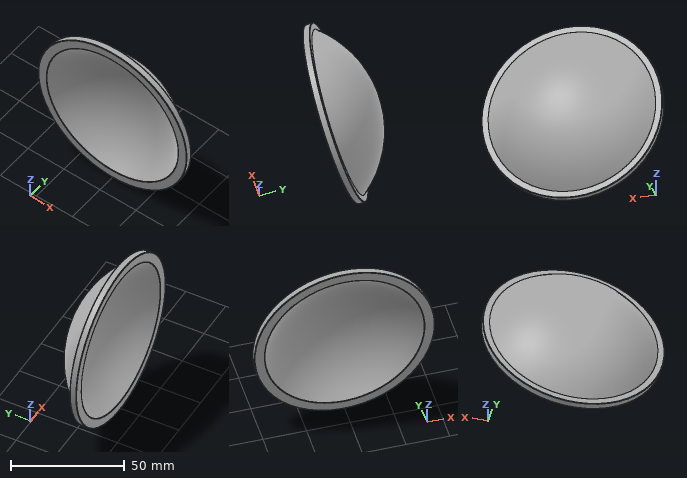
import cadquery as cq
import math

rim_diameter = 82.55
rim_thickness = 3.3
rim_chamfer = 0.25
total_depth = 21.95

dome_base_diameter = 76.45
opening_diameter = 73.1
opening_chamfer = 0.2

rim_radius = rim_diameter / 2
dome_base_radius = dome_base_diameter / 2
opening_radius = opening_diameter / 2
dome_height = total_depth - rim_thickness

outer_radius = (dome_base_radius**2 + dome_height**2) / (2 * dome_height)
center_y = total_depth - outer_radius
inner_radius = math.hypot(opening_radius, center_y)


def sphere(radius):
    return cq.Workplane("XY").sphere(radius).translate((0, center_y, 0))


def rim_cylinder(length):
    """Solid disc from the open face (Y = 0) toward +Y."""
    return cq.Workplane("XZ").circle(rim_radius).extrude(-length)


rim = rim_cylinder(rim_thickness).edges().chamfer(rim_chamfer)
dome = sphere(outer_radius).intersect(rim_cylinder(total_depth))
shell = rim.union(dome).cut(sphere(inner_radius))

opening_edge = cq.selectors.RadiusNthSelector(0)
result = shell.faces("<Y").edges(opening_edge).chamfer(opening_chamfer)